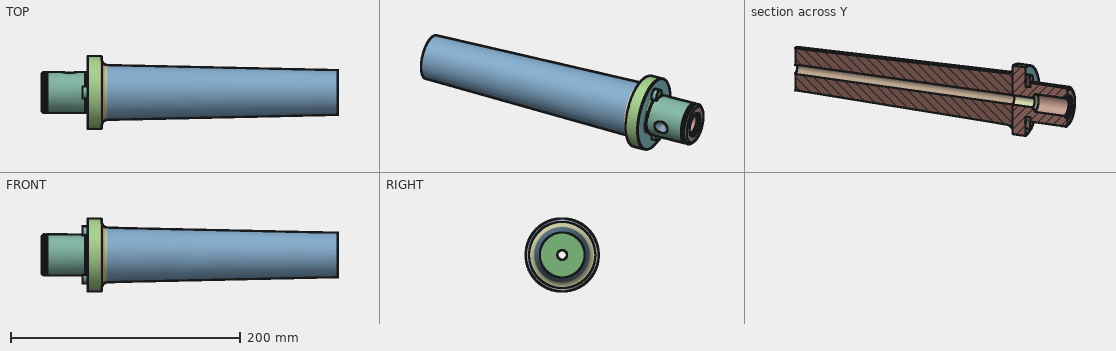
import cadquery as cq
import math

TOTAL_LENGTH = 258.0
PILOT_LENGTH = 40.0
FLANGE_WIDTH = 12.5
FLANGE_BACK = PILOT_LENGTH + FLANGE_WIDTH

PILOT_RADIUS = 18.0
LEAD_IN = 1.8
LIP_END = 2.5
RELIEF_BOTTOM = 3.4
RELIEF_RADIUS = 17.5
PILOT_START = 5.0
UNDERCUT_START = 37.7
UNDERCUT_SLOPE = 0.8
UNDERCUT_DEPTH = 0.3
UNDERCUT_FACE_RADIUS = 20.0
UNDERCUT_FACE_DEPTH = 0.3
UNDERCUT_FILLET = 0.8

FLANGE_RADIUS = 32.0
FLANGE_FRONT_CHAMFER = 0.5
FLANGE_BACK_FILLET = 1.5

COUNTERBORE_RADIUS = 9.8
COUNTERBORE_CHAMFER = 0.8
COUNTERBORE_DEPTH = 1.8
BORE_RADIUS = 8.0
BORE_DEPTH = 31.0
BORE_CONE_ANGLE = 120.0
COOLANT_RADIUS = 4.0

SEAT_X = 24.3
SEAT_RADIUS = 6.5

PIN_RADIUS = 5.5
PIN_LENGTH = 4.6
PIN_OFFSET = 19.5
PIN_SIDES = (1, -1)

SHANK_BASE_RADIUS = 24.0
SHANK_TIP_RADIUS = 19.5
SHANK_FILLET = 5.0


def revolve_about_x(profile):
    """Turn a closed profile, drawn as (x, radius), about the X axis."""
    return profile.close().revolve(360, (0, 0, 0), (1, 0, 0))


def pin_at(side):
    """Drive pin standing on the flange face, on the +Z (1) or -Z (-1) side."""
    return (
        cq.Workplane("YZ", origin=(PILOT_LENGTH - PIN_LENGTH, 0, 0))
        .center(0, side * PIN_OFFSET)
        .circle(PIN_RADIUS)
        .extrude(PIN_LENGTH)
    )


def head_blank():
    """Pilot and flange turned in one piece, solid to the axis."""
    undercut_radius = PILOT_RADIUS - UNDERCUT_DEPTH
    undercut_back = PILOT_LENGTH + UNDERCUT_FACE_DEPTH
    profile = (
        cq.Workplane("XY")
        .moveTo(0, 0)
        .lineTo(0, PILOT_RADIUS - LEAD_IN)
        .lineTo(LEAD_IN, PILOT_RADIUS)
        .lineTo(LIP_END, PILOT_RADIUS)
        .lineTo(RELIEF_BOTTOM, RELIEF_RADIUS)
        .lineTo(PILOT_START, PILOT_RADIUS)
        .lineTo(UNDERCUT_START, PILOT_RADIUS)
        .lineTo(UNDERCUT_START + UNDERCUT_SLOPE, undercut_radius)
        .lineTo(undercut_back - UNDERCUT_FILLET, undercut_radius)
        .radiusArc((undercut_back, undercut_radius + UNDERCUT_FILLET), -UNDERCUT_FILLET)
        .lineTo(PILOT_LENGTH, UNDERCUT_FACE_RADIUS)
        .lineTo(PILOT_LENGTH, FLANGE_RADIUS - FLANGE_FRONT_CHAMFER)
        .lineTo(PILOT_LENGTH + FLANGE_FRONT_CHAMFER, FLANGE_RADIUS)
        .lineTo(FLANGE_BACK - FLANGE_BACK_FILLET, FLANGE_RADIUS)
        .radiusArc((FLANGE_BACK, FLANGE_RADIUS - FLANGE_BACK_FILLET), FLANGE_BACK_FILLET)
        .lineTo(FLANGE_BACK, 0)
    )
    return revolve_about_x(profile)


def head_bore():
    """Counterbore, bore and coolant hole, joined by cones of the drill point angle."""
    cone_slope = math.tan(math.radians(BORE_CONE_ANGLE / 2))
    step_cone_length = (COUNTERBORE_RADIUS - BORE_RADIUS) / cone_slope
    tip_cone_length = (BORE_RADIUS - COOLANT_RADIUS) / cone_slope
    profile = (
        cq.Workplane("XY")
        .moveTo(0, 0)
        .lineTo(0, COUNTERBORE_RADIUS + COUNTERBORE_CHAMFER)
        .lineTo(COUNTERBORE_CHAMFER, COUNTERBORE_RADIUS)
        .lineTo(COUNTERBORE_DEPTH, COUNTERBORE_RADIUS)
        .lineTo(COUNTERBORE_DEPTH + step_cone_length, BORE_RADIUS)
        .lineTo(BORE_DEPTH, BORE_RADIUS)
        .lineTo(BORE_DEPTH + tip_cone_length, COOLANT_RADIUS)
        .lineTo(FLANGE_BACK, COOLANT_RADIUS)
        .lineTo(FLANGE_BACK, 0)
    )
    return revolve_about_x(profile)


def screw_seat():
    """90 degree cone that enters the pilot from +Y, SEAT_RADIUS wide at the pilot's crest height."""
    return (
        cq.Workplane("XY")
        .moveTo(SEAT_X, PILOT_RADIUS - SEAT_RADIUS)
        .lineTo(SEAT_X + SEAT_RADIUS, PILOT_RADIUS)
        .lineTo(SEAT_X, PILOT_RADIUS)
        .close()
        .revolve(360, (SEAT_X, 0, 0), (SEAT_X, 1, 0))
    )


def make_head():
    """Pilot and flange with the bore, the screw seat and the pockets of the drive pins."""
    head = head_blank().cut(head_bore()).cut(screw_seat())
    for side in PIN_SIDES:
        head = head.cut(pin_at(side))
    return head


def make_shank():
    """Tapered shank with a fillet that flares out against the flange."""
    taper_start = FLANGE_BACK + SHANK_FILLET
    profile = (
        cq.Workplane("XY")
        .moveTo(FLANGE_BACK, COOLANT_RADIUS)
        .lineTo(FLANGE_BACK, SHANK_BASE_RADIUS + SHANK_FILLET)
        .radiusArc((taper_start, SHANK_BASE_RADIUS), -SHANK_FILLET)
        .lineTo(TOTAL_LENGTH, SHANK_TIP_RADIUS)
        .lineTo(TOTAL_LENGTH, COOLANT_RADIUS)
    )
    return revolve_about_x(profile)


head = make_head()
shank = make_shank()
pins = [pin_at(side) for side in PIN_SIDES]

result = cq.Compound.makeCompound([head.val(), shank.val(), *[pin.val() for pin in pins]])